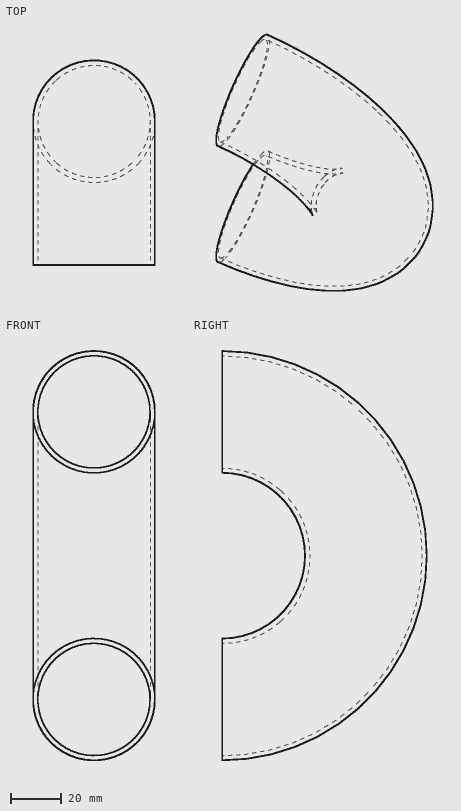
import cadquery as cq

overall_height = 162.3
tube_diameter = 48.4
wall_thickness = 2.0
bend_angle = 180.0

outer_radius = tube_diameter / 2
inner_radius = outer_radius - wall_thickness
bend_radius = overall_height / 2 - outer_radius

result = (
    cq.Workplane("XZ")
    .center(0, -bend_radius)
    .circle(outer_radius)
    .circle(inner_radius)
    .revolve(bend_angle, (0, bend_radius), (1, bend_radius))
)